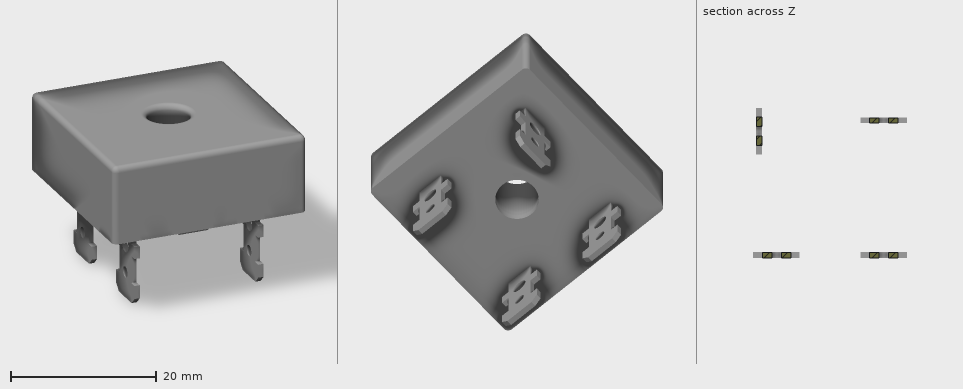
import cadquery as cq

BODY_SIDE = 29.0
BODY_HEIGHT = 11.5
EDGE_RADIUS = 0.8
BORE_DIAMETER = 6.0

BLADE_LENGTH = 11.5
BLADE_THICKNESS = 0.8
STEM_WIDTH = 4.0
HEAD_WIDTH = 6.4
HEAD_TOP_DEPTH = 8.55
HEAD_CHAMFER = 1.0
LUG_TOP_DEPTH = 2.7
LUG_HEIGHT = 1.8
LARGE_HOLE_DIAMETER = 2.2
LARGE_HOLE_DEPTH = LUG_TOP_DEPTH + LUG_HEIGHT / 2
SMALL_HOLE_DIAMETER = 1.6
SMALL_HOLE_DEPTH = 7.7

BLADE_X = 7.4
BLADE_Y = 9.3
TURNED_BLADE_X = -9.8
TURNED_BLADE_Y = 7.8
QUARTER_TURN = 90

EMBED = 0.5


def make_body():
    """Block with rounded side and top edges and a bore rounded at its mouth."""
    block = (
        cq.Workplane("XY")
        .rect(BODY_SIDE, BODY_SIDE)
        .extrude(BODY_HEIGHT)
        .edges("|Z or >Z")
        .fillet(EDGE_RADIUS)
    )
    bored = block.faces(">Z").workplane().hole(BORE_DIAMETER)
    return bored.faces(">Z").edges("%CIRCLE").fillet(EDGE_RADIUS)


def blade_plate(width, top_depth, bottom_depth):
    """Flat plate facing Y, centred on X = 0 and Y = 0, between two depths."""
    height = bottom_depth - top_depth
    middle = (top_depth + bottom_depth) / 2
    return cq.Workplane("XY").box(width, BLADE_THICKNESS, height).translate((0, 0, -middle))


def blade_hole(diameter, depth):
    """Cutting cylinder along Y, centred at the given depth."""
    cutter = cq.Workplane("XZ").circle(diameter / 2).extrude(BLADE_THICKNESS, both=True)
    return cutter.translate((0, 0, -depth))


def make_blade():
    """Terminal with a stem, a pair of side lugs, a chamfered head and two holes."""
    stem = blade_plate(STEM_WIDTH, -EMBED, BLADE_LENGTH)
    lugs = blade_plate(HEAD_WIDTH, LUG_TOP_DEPTH, LUG_TOP_DEPTH + LUG_HEIGHT)
    head = blade_plate(HEAD_WIDTH, HEAD_TOP_DEPTH, BLADE_LENGTH)
    head = head.edges("|Y and <Z").chamfer(HEAD_CHAMFER)
    blade = stem.union(lugs).union(head)
    blade = blade.cut(blade_hole(LARGE_HOLE_DIAMETER, LARGE_HOLE_DEPTH))
    return blade.cut(blade_hole(SMALL_HOLE_DIAMETER, SMALL_HOLE_DEPTH))


def make_part():
    """Body with its four terminals, one near each corner."""
    part = make_body()
    blade = make_blade()
    for x, y in [(-BLADE_X, -BLADE_Y), (BLADE_X, -BLADE_Y), (BLADE_X, BLADE_Y)]:
        part = part.union(blade.translate((x, y, 0)))
    turned_blade = blade.rotate((0, 0, 0), (0, 0, 1), QUARTER_TURN)
    return part.union(turned_blade.translate((TURNED_BLADE_X, TURNED_BLADE_Y, 0)))


result = make_part()